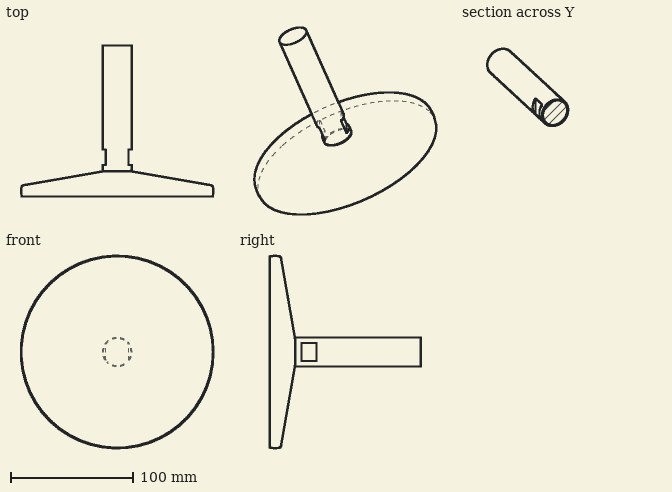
import cadquery as cq
import math

total_length = 124.0

base_radius = 79.0
face_radius = 78.4
taper_height = 4.1
rim_round = 2.5
round_start = 7.1
round_start_radius = 78.7
rim_top = round_start + rim_round
cone_top = 20.7
cone_top_radius = 12.6

stem_radius = 12.0
neck_radius = 11.2
neck_length = 0.5
stem_start = cone_top + neck_length

across_flats = 19.0
flat_start = 26.0
flat_length = 12.5


def make_body():
    """Revolve the half profile (radius, axial position) around the Y axis."""
    shoulder_radius = round_start_radius - rim_round
    arc_offset = rim_round * math.sqrt(0.5)
    arc_middle = (shoulder_radius + arc_offset, round_start + arc_offset)
    return (
        cq.Workplane("XY")
        .lineTo(face_radius, 0)
        .lineTo(base_radius, taper_height)
        .lineTo(round_start_radius, round_start)
        .threePointArc(arc_middle, (shoulder_radius, rim_top))
        .lineTo(cone_top_radius, cone_top)
        .lineTo(neck_radius, cone_top)
        .lineTo(neck_radius, stem_start)
        .lineTo(stem_radius, stem_start)
        .lineTo(stem_radius, total_length)
        .lineTo(0, total_length)
        .close()
        .revolve(360, (0, 0, 0), (0, 1, 0))
    )


def make_flat_cutter(side):
    """Block that removes the stem outside one wrench flat; side is -1 or 1."""
    depth = stem_radius
    center_x = side * (across_flats + depth) / 2
    center_y = flat_start + flat_length / 2
    return (
        cq.Workplane("XY")
        .box(depth, flat_length, 2 * stem_radius)
        .translate((center_x, center_y, 0))
    )


result = make_body()
for side in (-1, 1):
    result = result.cut(make_flat_cutter(side))